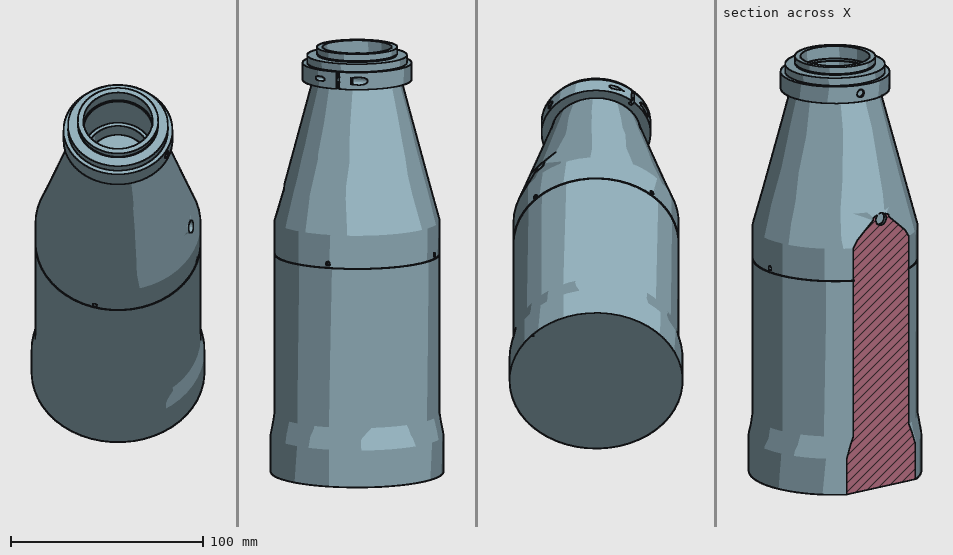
import cadquery as cq

TOTAL_HEIGHT = 225
BASE_BOTTOM = 0.5
BASE_TOP = 20.0
BASE_TAPER_TOP = 31.5
GROOVE_HEIGHT = 115.7
CONE_BOTTOM = 133.2
CONE_TOP = 206.8
CLAMP_BOTTOM = 207.7
CLAMP_TOP = 216.8
FLANGE_TOP = 220.8

BASE_DIA = 90
BODY_DIA = 86.0
GROOVE_DIA = 85.5
GROOVE_WIDTH = 0.2
NECK_DIA = 46.5
CLAMP_DIA = 56.7
FLANGE_DIA = 52.0
RIM_DIA = 41.9
RIM_RELIEF_DIA = 41.0
RIM_RELIEF_HEIGHT = 0.7

BORE_DIA = 36
BORE_DEPTH = 27
RING_GROOVE_DIA = 37.5
RING_GROOVE_DEPTH = 6.8
RING_GROOVE_WIDTH = 1.4
TAPER_TOP_DIA = 32.0
TAPER_BOTTOM_DIA = 30.2
TAPER_DEPTH = 6.8
FLOOR_SAG = 0.7

SLIT_WIDTH = 1.8
SCREW_Y = 26.0
SCREW_DIA = 2.5
SCREW_HEAD_DIA = 4.0
SCREW_HEAD_SEAT_X = -6.8
CLAMP_HOLE_DIA = 4.0
CLAMP_HOLE_DEPTH = 1.1
CLAMP_HOLE_ANGLE = -10
CLAMP_MIDDLE = (CLAMP_BOTTOM + CLAMP_TOP) / 2

SET_SCREW_DIA = 2.2
SET_SCREW_DEPTH = 2.3
SET_SCREW_HEIGHT = 118.0
SET_SCREW_COUNT = 4
PORT_DIA = 6.5
PORT_HEIGHT = 145.9
PORT_FLOOR_RADIUS = 37.1

PIN_DIA = 0.5
PIN_X = 44.3


def radial_hole(diameter, floor_radius, height, angle=0):
    """Cutter for a blind hole entering the side, flat at floor_radius from the axis."""
    cutter = (
        cq.Workplane("YZ", origin=(floor_radius, 0, height))
        .circle(diameter / 2)
        .extrude(BASE_DIA / 2 - floor_radius)
    )
    return cutter.rotate((0, 0, 0), (0, 0, 1), angle)


def outer_body():
    """Stepped and tapered housing, revolved about Z."""
    outline = [
        (0, BASE_BOTTOM),
        (BASE_DIA / 2, BASE_BOTTOM),
        (BASE_DIA / 2, BASE_TOP),
        (BODY_DIA / 2, BASE_TAPER_TOP),
        (BODY_DIA / 2, GROOVE_HEIGHT - GROOVE_WIDTH / 2),
        (GROOVE_DIA / 2, GROOVE_HEIGHT - GROOVE_WIDTH / 2),
        (GROOVE_DIA / 2, GROOVE_HEIGHT + GROOVE_WIDTH / 2),
        (BODY_DIA / 2, GROOVE_HEIGHT + GROOVE_WIDTH / 2),
        (BODY_DIA / 2, CONE_BOTTOM),
        (NECK_DIA / 2, CONE_TOP),
        (NECK_DIA / 2, CLAMP_BOTTOM),
        (CLAMP_DIA / 2, CLAMP_BOTTOM),
        (CLAMP_DIA / 2, CLAMP_TOP),
        (FLANGE_DIA / 2, CLAMP_TOP),
        (FLANGE_DIA / 2, FLANGE_TOP),
        (RIM_RELIEF_DIA / 2, FLANGE_TOP),
        (RIM_RELIEF_DIA / 2, FLANGE_TOP + RIM_RELIEF_HEIGHT),
        (RIM_DIA / 2, FLANGE_TOP + RIM_RELIEF_HEIGHT),
        (RIM_DIA / 2, TOTAL_HEIGHT),
        (0, TOTAL_HEIGHT),
    ]
    return cq.Workplane("XZ").polyline(outline).close().revolve(360, (0, 0), (0, 1))


def bore():
    """Cutter for the grooved bore, the taper below its ledge and the dished floor."""
    groove_top = TOTAL_HEIGHT - RING_GROOVE_DEPTH
    groove_bottom = groove_top - RING_GROOVE_WIDTH
    ledge_height = TOTAL_HEIGHT - BORE_DEPTH
    floor_height = ledge_height - TAPER_DEPTH
    floor_radius = TAPER_BOTTOM_DIA / 2
    dish_radius = (floor_radius**2 + FLOOR_SAG**2) / (2 * FLOOR_SAG)
    middle_x = floor_radius / 2
    dish_center = floor_height - FLOOR_SAG + dish_radius
    middle_z = dish_center - (dish_radius**2 - middle_x**2) ** 0.5
    return (
        cq.Workplane("XZ")
        .moveTo(0, floor_height - FLOOR_SAG)
        .threePointArc((middle_x, middle_z), (floor_radius, floor_height))
        .lineTo(TAPER_TOP_DIA / 2, ledge_height)
        .lineTo(BORE_DIA / 2, ledge_height)
        .lineTo(BORE_DIA / 2, groove_bottom)
        .lineTo(RING_GROOVE_DIA / 2, groove_bottom)
        .lineTo(RING_GROOVE_DIA / 2, groove_top)
        .lineTo(BORE_DIA / 2, groove_top)
        .lineTo(BORE_DIA / 2, TOTAL_HEIGHT)
        .lineTo(0, TOTAL_HEIGHT)
        .close()
        .revolve(360, (0, 0), (0, 1))
    )


def clamp_slit():
    """Cutter for the slit that splits the clamp ring on the +Y side."""
    slit_depth = (CLAMP_DIA - FLANGE_DIA) / 2
    slit_height = CLAMP_TOP - CLAMP_BOTTOM
    start = cq.Workplane("XY", origin=(0, FLANGE_DIA / 2, CLAMP_BOTTOM))
    return start.box(SLIT_WIDTH, slit_depth, slit_height, centered=(True, False, False))


def clamp_screw_hole():
    """Cutter for the screw hole across the slit, with its head recess on the -X side."""
    start = cq.Workplane("YZ", origin=(-CLAMP_DIA / 2, SCREW_Y, CLAMP_MIDDLE))
    shank = start.circle(SCREW_DIA / 2).extrude(CLAMP_DIA)
    head = start.circle(SCREW_HEAD_DIA / 2).extrude(CLAMP_DIA / 2 + SCREW_HEAD_SEAT_X)
    return shank.union(head)


def index_pin():
    """Small pin standing down from the base near the +X edge."""
    return cq.Workplane("XY").center(PIN_X, 0).circle(PIN_DIA / 2).extrude(BASE_TOP)


result = outer_body().union(index_pin())
result = result.cut(bore()).cut(clamp_slit()).cut(clamp_screw_hole())

clamp_hole_floor = CLAMP_DIA / 2 - CLAMP_HOLE_DEPTH
result = result.cut(radial_hole(CLAMP_HOLE_DIA, clamp_hole_floor, CLAMP_MIDDLE, CLAMP_HOLE_ANGLE))
result = result.cut(radial_hole(PORT_DIA, PORT_FLOOR_RADIUS, PORT_HEIGHT))

set_screw_floor = BODY_DIA / 2 - SET_SCREW_DEPTH
for index in range(SET_SCREW_COUNT):
    set_screw_angle = index * 360 / SET_SCREW_COUNT
    result = result.cut(radial_hole(SET_SCREW_DIA, set_screw_floor, SET_SCREW_HEIGHT, set_screw_angle))